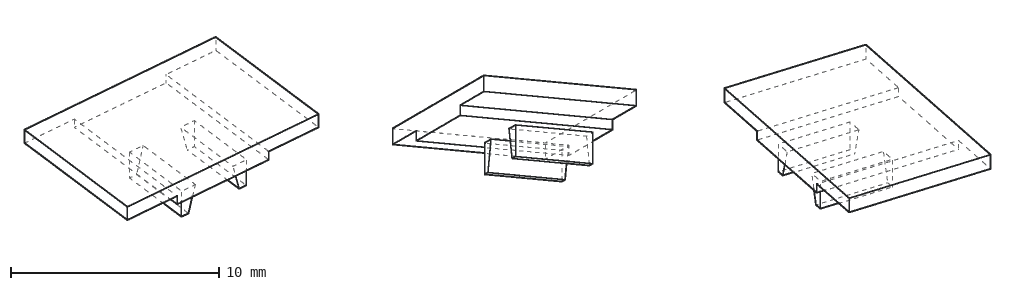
import cadquery as cq

plate_length_x = 7.9
plate_width_y = 11.8
plate_thickness = 0.8

pad_width_y = 5.66
pad_thickness = 0.5

overall_height = 2.86
leg_height = overall_height - plate_thickness - pad_thickness
leg_length_x = 4.0
leg_center_x = 1.25
leg_outer_span_y = 4.0
leg_root_thickness = 0.84
leg_tip_thickness = 0.44

pad_top_z = -plate_thickness
leg_root_z = pad_top_z - pad_thickness
leg_tip_z = leg_root_z - leg_height


def slab(length_x, width_y, thickness, top_z):
    """Rectangular slab centred on X and Y, hanging down from top_z."""
    return (
        cq.Workplane("XY")
        .workplane(offset=top_z)
        .rect(length_x, width_y)
        .extrude(-thickness)
    )


def leg(side):
    """Tapered leg on the +Y (side = 1) or -Y (side = -1) half."""
    outer_y = leg_outer_span_y / 2
    profile = [
        (side * outer_y, leg_root_z),
        (side * outer_y, leg_tip_z),
        (side * (outer_y - leg_tip_thickness), leg_tip_z),
        (side * (outer_y - leg_root_thickness), leg_root_z),
    ]
    return (
        cq.Workplane("YZ")
        .workplane(offset=leg_center_x - leg_length_x / 2)
        .polyline(profile)
        .close()
        .extrude(leg_length_x)
    )


result = slab(plate_length_x, plate_width_y, plate_thickness, 0)
result = result.union(slab(plate_length_x, pad_width_y, pad_thickness, pad_top_z))
for side in (-1, 1):
    result = result.union(leg(side))